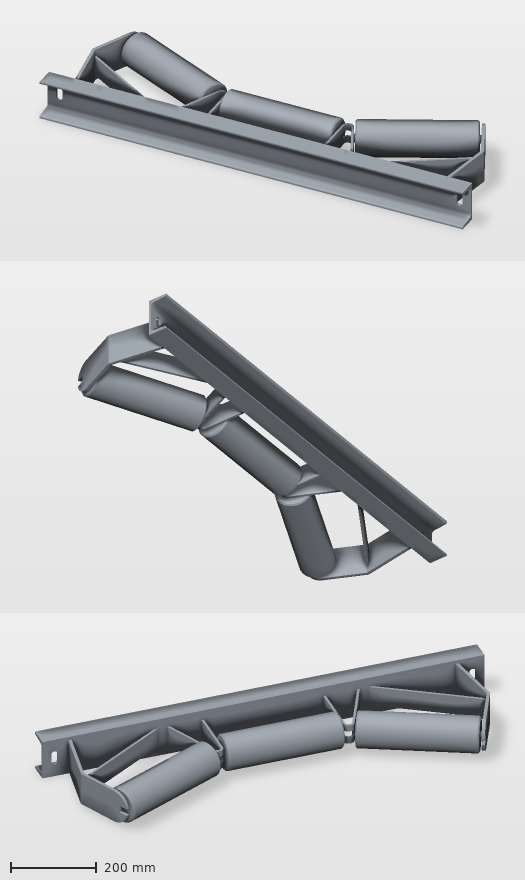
import cadquery as cq
import math

beam_length = 1100.0
beam_height = 100.0
flange_width = 50.0
web_thickness = 6.0
flange_thickness = 8.5
flange_slope = 0.08
root_radius = 8.5
toe_radius = 4.5
mount_slot_length = 36.0
mount_slot_width = 16.0
mount_slot_inset = 30.0

roller_diameter = 89.0
roller_length = 290.0
roller_chamfer = 3.5
shaft_diameter = 20.0
inner_gap = 3.5
outer_gap = 5.0
tang_size = 17.0
centre_roller_y = 114.5
wing_angle = 25.0
wing_roller_x = 316.0
wing_roller_y = 187.89

outer_width = 83.0
inner_width = 50.0
inner_thickness = 6.0
inner_bend_radius = 9.0
outer_thickness = 8.0
outer_bend_radius = 5.0
outer_foot_x = 481.5
outer_bend_y = 147.0
outer_tip_reach = 33.0
slot_reach = 50.0

brace_thickness = 6.0
brace_width = 50.0
brace_foot_x = 267.0

foot_overrun = 40.0

tilt = math.radians(wing_angle)
axis_dir = cq.Vector(math.cos(tilt), math.sin(tilt), 0)
rise_dir = cq.Vector(-math.sin(tilt), math.cos(tilt), 0)
wing_centre = cq.Vector(wing_roller_x, wing_roller_y, 0)
inner_face = roller_length / 2 + inner_gap
outer_face = roller_length / 2 + outer_gap
inner_mid = inner_face + inner_thickness / 2
outer_mid = outer_face + outer_thickness / 2
outer_seat = wing_centre + axis_dir * outer_mid
outer_corner = outer_seat - rise_dir * ((outer_seat.y - outer_bend_y) / rise_dir.y)


def crossing(point_a, dir_a, point_b, dir_b):
    """Point where two lines in the XY plane meet."""
    gap = point_b - point_a
    step = (gap.x * dir_b.y - gap.y * dir_b.x) / (dir_a.x * dir_b.y - dir_a.y * dir_b.x)
    return point_a + dir_a * step


def bent_strip(start, corner, end, thickness, inside_radius, width):
    """Strip centred on a two-leg path, its corner bent to the given inside radius."""
    leg_a = (start - corner).normalized()
    leg_b = (end - corner).normalized()
    half_angle = leg_a.getAngle(leg_b) / 2
    middle = (leg_a + leg_b).normalized()
    radius = inside_radius + thickness / 2
    bend_centre = corner + middle * (radius / math.sin(half_angle))
    setback = radius / math.tan(half_angle)
    bend_start = corner + leg_a * setback
    bend_end = corner + leg_b * setback

    def at(point, offset):
        return point.x + offset.x, point.y + offset.y

    side_a = (bend_start - bend_centre).normalized() * (thickness / 2)
    side_b = (bend_end - bend_centre).normalized() * (thickness / 2)
    outside_mid = bend_centre - middle * (inside_radius + thickness)
    inside_mid = bend_centre - middle * inside_radius
    return (
        cq.Workplane("XY")
        .moveTo(*at(start, side_a))
        .lineTo(*at(bend_start, side_a))
        .threePointArc((outside_mid.x, outside_mid.y), at(bend_end, side_b))
        .lineTo(*at(end, side_b))
        .lineTo(*at(end, side_b * -1))
        .lineTo(*at(bend_end, side_b * -1))
        .threePointArc((inside_mid.x, inside_mid.y), at(bend_start, side_a * -1))
        .lineTo(*at(start, side_a * -1))
        .close()
        .extrude(width / 2, both=True)
    )


def above_beam(body):
    """Trim a body flush with the beam's face on Y = 0."""
    keep = cq.Workplane("XZ").rect(beam_length, beam_length).extrude(-beam_length)
    return body.intersect(keep)


def make_beam():
    half_height = beam_height / 2
    half_flange = flange_width / 2
    root_y = half_height - flange_thickness - flange_slope * (half_flange - web_thickness)
    toe_y = half_height - flange_thickness + flange_slope * half_flange
    profile = [
        (0, half_height),
        (-flange_width, half_height),
        (-flange_width, toe_y),
        (-web_thickness, root_y),
        (-web_thickness, -root_y),
        (-flange_width, -toe_y),
        (-flange_width, -half_height),
        (0, -half_height),
    ]
    beam = cq.Workplane("YZ").polyline(profile).close().extrude(beam_length / 2, both=True)
    for side in (1, -1):
        root = cq.selectors.NearestToPointSelector((0, -web_thickness, side * root_y))
        beam = beam.edges(root).fillet(root_radius)
        toe = cq.selectors.NearestToPointSelector((0, -flange_width, side * toe_y))
        beam = beam.edges(toe).fillet(toe_radius)
    slot_x = beam_length / 2 - mount_slot_inset
    slots = (
        cq.Workplane("XZ")
        .pushPoints([(-slot_x, 0), (slot_x, 0)])
        .slot2D(mount_slot_length, mount_slot_width, 90)
        .extrude(web_thickness)
    )
    return beam.cut(slots)


def make_roller(left_face, left_thickness, right_face, right_thickness):
    """Roller along X centred on the origin; its square tangs end flush with the brackets' far faces."""
    shell = (
        cq.Workplane("YZ", origin=(-roller_length / 2, 0, 0))
        .circle(roller_diameter / 2)
        .extrude(roller_length)
        .faces("<X or >X")
        .chamfer(roller_chamfer)
    )
    left_plane = cq.Workplane("YZ", origin=(-left_face, 0, 0))
    right_plane = cq.Workplane("YZ", origin=(right_face, 0, 0))
    shaft = left_plane.circle(shaft_diameter / 2).extrude(left_face + right_face)
    left_tang = left_plane.rect(tang_size, tang_size).extrude(-left_thickness)
    right_tang = right_plane.rect(tang_size, tang_size).extrude(right_thickness)
    return shell.union(shaft).union(left_tang).union(right_tang)


def make_centre_roller():
    roller = make_roller(inner_face, inner_thickness, inner_face, inner_thickness)
    return roller.translate((0, centre_roller_y, 0))


def make_wing_roller():
    roller = make_roller(inner_face, inner_thickness, outer_face, outer_thickness)
    return roller.rotate((0, 0, 0), (0, 0, 1), wing_angle).translate(wing_centre)


def open_slot(seat, axis_angle, depth):
    """Cutter for a slot that seats a tang and runs out at the top.

    It starts at the seat and runs for depth (negative: backwards) along the roller axis.
    """
    length = slot_reach + tang_size / 2
    middle = (slot_reach - tang_size / 2) / 2
    return (
        cq.Workplane("YZ", origin=(0, middle, 0))
        .rect(length, tang_size)
        .extrude(depth)
        .rotate((0, 0, 0), (0, 0, 1), axis_angle)
        .translate(seat)
    )


def make_inner_bracket():
    upright_line = cq.Vector(inner_mid, 0, 0)
    tilted_line = wing_centre - axis_dir * inner_mid
    corner = crossing(upright_line, cq.Vector(0, 1, 0), tilted_line, rise_dir)
    tilted_foot = corner - rise_dir * (corner.y / rise_dir.y + foot_overrun)
    strip = bent_strip(upright_line, corner, tilted_foot, inner_thickness, inner_bend_radius, inner_width)
    bend_span = 2 * (inner_bend_radius + inner_thickness)
    centre_seat = cq.Vector(inner_face, centre_roller_y, 0)
    wing_seat = wing_centre - axis_dir * inner_face
    bracket = strip.cut(open_slot(centre_seat, 0, bend_span))
    bracket = bracket.cut(open_slot(wing_seat, wing_angle, -bend_span))
    return above_beam(bracket)


def make_outer_bracket():
    tip = outer_seat + rise_dir * outer_tip_reach
    foot = cq.Vector(outer_foot_x, 0, 0)
    foot_end = foot + (foot - outer_corner).normalized() * foot_overrun
    strip = bent_strip(tip, outer_corner, foot_end, outer_thickness, outer_bend_radius, outer_width)
    half_width = outer_width / 2
    rounded = (
        cq.Workplane("YZ")
        .moveTo(outer_tip_reach - half_width, half_width)
        .threePointArc((outer_tip_reach, 0), (outer_tip_reach - half_width, -half_width))
        .lineTo(-beam_length, -half_width)
        .lineTo(-beam_length, half_width)
        .close()
        .extrude(beam_length / 2, both=True)
        .rotate((0, 0, 0), (0, 0, 1), wing_angle)
        .translate(outer_seat)
    )
    slot_start = wing_centre + axis_dir * outer_face
    bracket = strip.intersect(rounded).cut(open_slot(slot_start, wing_angle, outer_thickness))
    return above_beam(bracket)


def make_brace(outer_bracket):
    """Flat bar from the beam up to the inside of the outer bracket's corner."""
    foot = cq.Vector(brace_foot_x, 0, 0)
    run = outer_corner - foot
    slope = math.degrees(math.atan2(run.y, run.x))
    bar = (
        cq.Workplane("XY")
        .box(run.Length + foot_overrun, brace_thickness, brace_width, centered=(False, True, True))
        .translate((-foot_overrun, 0, 0))
        .rotate((0, 0, 0), (0, 0, 1), slope)
        .translate(foot)
    )
    return above_beam(bar).cut(outer_bracket)


beam = make_beam()
centre_roller = make_centre_roller()
wing_roller = make_wing_roller()
inner_bracket = make_inner_bracket()
outer_bracket = make_outer_bracket()
brace = make_brace(outer_bracket)

right_hand = [wing_roller, inner_bracket, outer_bracket, brace]
bodies = [beam, centre_roller]
for body in right_hand:
    bodies.append(body)
    bodies.append(body.mirror("YZ"))

result = cq.Compound.makeCompound([body.solids().val() for body in bodies])